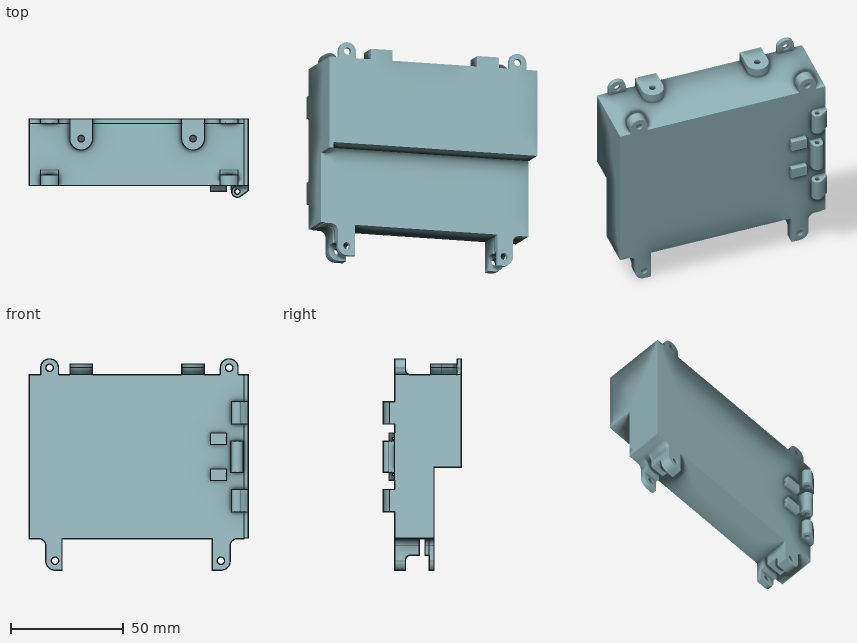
import cadquery as cq
import math


QUARTER_BOW = 1 - math.sqrt(0.5)

LENGTH = 97.2
HEIGHT = 72.9
DEPTH_UPPER = 29.7
DEPTH_LOWER = 17.5

OVERSIZE = 3 * LENGTH

COVER_UPPER = 1.9
COVER_LOWER = 2.2
COVER_LEDGE = 1.5
STEP_Z = 35.7
HOUSING_UPPER = DEPTH_UPPER - COVER_UPPER
HOUSING_LOWER = DEPTH_LOWER - COVER_LOWER
LEDGE_Z = STEP_Z - COVER_LEDGE

DOOR_THICKNESS = 1.9
DOOR_BOTTOM = 0.3
DOOR_OVERHANG = 2.5
HOUSING_LENGTH = LENGTH - DOOR_THICKNESS

LUG_RADIUS = 4.0
LUG_RISE = 3.0
LUG_FIRST_X = 9.0
LUG_SPACING = 79.7
LUG_XS = [LUG_FIRST_X, LUG_FIRST_X + LUG_SPACING]
LUG_THICKNESS = 4.9
LUG_HOLE = 3.2

LEG_PLACES = [(7.3, 14.6, 11.5), (89.3, 81.2, 85.1)]
LEG_LENGTH = 14.0
LEG_HOLE = 3.2
LEG_CORNER = 4.3
LEG_FILLET = 2.9
LEG_THICKNESS = 4.9
LEG_ROOT_DEPTH = 11.0
LEG_ROOT_LENGTH = 7.3
REAR_ROOT_THICKNESS = 1.8
STEP_FILLET = 2.0

PAD_WIDTH = 10.1
PAD_HEIGHT = 3.2
TAB_THICKNESS = 1.6
PAD_FIRST_X = 23.0
PAD_SPACING = 49.7
PAD_XS = [PAD_FIRST_X, PAD_FIRST_X + PAD_SPACING]
PAD_HOLE_Y = 20.9
PAD_HOLE = 3.0

HINGE_X = 92.4
HINGE_Y = -2.6
KNUCKLE_RADIUS = 2.5
HINGE_HOLE = 2.2
HINGE_MID_Z = HEIGHT / 2
MIDDLE_KNUCKLE_LENGTH = 13.9
MIDDLE_KNUCKLE_FLARE = 2.9
DOOR_KNUCKLE_LENGTH = 10.0
DOOR_KNUCKLE_OFFSET = 19.4
STRAP_DEPTH = 2.2

BLOCK_X = 80.4
BLOCK_LENGTH = 7.1
BLOCK_HEIGHT = 5.2
BLOCK_PROTRUSION = 2.5
BLOCK_OFFSET = 8.0
BLOCK_HOLE = 1.0
BLOCK_HOLE_Y = -0.6


def slab(x_start, thickness, points):
    """Prism along X with a polygonal Y-Z outline."""
    return cq.Workplane("YZ", origin=(x_start, 0, 0)).polyline(points).close().extrude(thickness)


def upright(y_start):
    """Workplane facing the front, with X and Z as its axes; a negative extrusion runs rearward."""
    return cq.Workplane("XZ", origin=(0, y_start, 0))


def lug(x, y_start, thickness):
    """Round-topped upright lug, without its hole."""
    hole_z = HEIGHT + LUG_RISE
    return (
        upright(y_start)
        .moveTo(x - LUG_RADIUS, HEIGHT)
        .lineTo(x - LUG_RADIUS, hole_z)
        .threePointArc((x, hole_z + LUG_RADIUS), (x + LUG_RADIUS, hole_z))
        .lineTo(x + LUG_RADIUS, HEIGHT)
        .close()
        .extrude(-thickness)
    )


def concave_fillet(x_start, width, y, z, rise):
    """Fillet bar along X at the rear of a wall at y; it runs from the floor at z towards z + rise."""
    diagonal = STEP_FILLET * QUARTER_BOW
    sign = math.copysign(1, rise)
    return (
        cq.Workplane("YZ", origin=(x_start, 0, 0))
        .moveTo(y, z)
        .lineTo(y + STEP_FILLET, z)
        .threePointArc((y + diagonal, z + sign * diagonal), (y, z + rise))
        .close()
        .extrude(width)
    )


def leg(outer, inner, y_start, thickness):
    """Leg with a fillet at its outer root and a rounded outer corner, without its hole."""
    inward = math.copysign(1, inner - outer)
    corner_z = LEG_CORNER - LEG_LENGTH
    corner_bow = LEG_CORNER * QUARTER_BOW
    fillet_bow = LEG_FILLET * QUARTER_BOW
    return (
        upright(y_start)
        .moveTo(inner, 0)
        .lineTo(outer - inward * LEG_FILLET, 0)
        .threePointArc((outer - inward * fillet_bow, -fillet_bow), (outer, -LEG_FILLET))
        .lineTo(outer, corner_z)
        .threePointArc(
            (outer + inward * corner_bow, corner_bow - LEG_LENGTH),
            (outer + inward * LEG_CORNER, -LEG_LENGTH),
        )
        .lineTo(inner, -LEG_LENGTH)
        .close()
        .extrude(-thickness)
    )


def leg_root(outer, inner, y_start, thickness):
    """Upper part of a leg, cut off level at the root length."""
    below_root = cq.Workplane("XY", origin=(0, 0, -LEG_ROOT_LENGTH)).rect(OVERSIZE, OVERSIZE)
    return leg(outer, inner, y_start, thickness).cut(below_root.extrude(-LEG_LENGTH))


def screw_holes():
    """Cutters through all lugs and legs, from front to rear."""
    lug_points = [(x, HEIGHT + LUG_RISE) for x in LUG_XS]
    leg_points = [(hole_x, LEG_CORNER - LEG_LENGTH) for _, _, hole_x in LEG_PLACES]
    lug_cutters = upright(0).pushPoints(lug_points).circle(LUG_HOLE / 2).extrude(-DEPTH_UPPER)
    leg_cutters = upright(0).pushPoints(leg_points).circle(LEG_HOLE / 2).extrude(-DEPTH_UPPER)
    return lug_cutters.union(leg_cutters)


def bracket_outline(x):
    """Closed outline of a bracket on the top face, running from the rear face to a round front end."""
    radius = PAD_WIDTH / 2
    return (
        cq.Workplane("XY", origin=(0, 0, HEIGHT))
        .moveTo(x - radius, DEPTH_UPPER)
        .lineTo(x - radius, PAD_HOLE_Y)
        .threePointArc((x, PAD_HOLE_Y - radius), (x + radius, PAD_HOLE_Y))
        .lineTo(x + radius, DEPTH_UPPER)
        .close()
    )


def bracket_hole(x):
    """Cutter for the vertical hole through a tab and its pad."""
    bracket_height = PAD_HEIGHT + TAB_THICKNESS
    return cq.Workplane("XY", origin=(x, PAD_HOLE_Y, HEIGHT)).circle(PAD_HOLE / 2).extrude(bracket_height)


def pad(x):
    """Housing part of a bracket: the lower layer in front of the cover plate."""
    behind = upright(HOUSING_UPPER).rect(OVERSIZE, OVERSIZE).extrude(-DEPTH_UPPER)
    return bracket_outline(x).extrude(PAD_HEIGHT).cut(behind)


def hinge_bore():
    """Cutter for the hinge pin hole over the full height."""
    return cq.Workplane("XY", origin=(HINGE_X, HINGE_Y, 0)).circle(HINGE_HOLE / 2).extrude(HEIGHT)


def knuckle_point(angle):
    """Point on the knuckle circle at an angle in radians, counterclockwise from +X."""
    return (HINGE_X + KNUCKLE_RADIUS * math.cos(angle), HINGE_Y + KNUCKLE_RADIUS * math.sin(angle))


def middle_knuckle():
    """Housing knuckle with a round nose; one side is square, the other leans out towards its base."""
    corner_distance = math.hypot(MIDDLE_KNUCKLE_FLARE, HINGE_Y)
    corner_angle = math.atan2(-HINGE_Y, -MIDDLE_KNUCKLE_FLARE)
    tangent_angle = corner_angle + math.acos(KNUCKLE_RADIUS / corner_distance)
    return (
        cq.Workplane("XY", origin=(0, 0, HINGE_MID_Z - MIDDLE_KNUCKLE_LENGTH / 2))
        .moveTo(HINGE_X - MIDDLE_KNUCKLE_FLARE, 0)
        .lineTo(*knuckle_point(tangent_angle))
        .threePointArc(knuckle_point(-math.pi / 2), knuckle_point(0))
        .lineTo(HINGE_X + KNUCKLE_RADIUS, 0)
        .close()
        .extrude(MIDDLE_KNUCKLE_LENGTH)
    )


def door_knuckle(mid_z):
    """Door knuckle with a strap to the door; its slanted side is tangent to the knuckle."""
    corner_x = LENGTH - HINGE_X
    corner_y = -STRAP_DEPTH - HINGE_Y
    corner_distance = math.hypot(corner_x, corner_y)
    tangent_angle = math.atan2(corner_y, corner_x) - math.acos(KNUCKLE_RADIUS / corner_distance)
    return (
        cq.Workplane("XY", origin=(0, 0, mid_z - DOOR_KNUCKLE_LENGTH / 2))
        .moveTo(LENGTH, 0)
        .lineTo(LENGTH, -STRAP_DEPTH)
        .lineTo(*knuckle_point(tangent_angle))
        .threePointArc(knuckle_point(math.pi), knuckle_point(math.pi / 2))
        .lineTo(HOUSING_LENGTH, 0)
        .close()
        .extrude(DOOR_KNUCKLE_LENGTH)
    )


def stop_block(mid_z):
    """Small block on the front face with a fine hole along X."""
    end_face = cq.Workplane("YZ", origin=(BLOCK_X, 0, mid_z))
    outline = end_face.center(-BLOCK_PROTRUSION / 2, 0).rect(BLOCK_PROTRUSION, BLOCK_HEIGHT)
    block = outline.extrude(BLOCK_LENGTH)
    hole = end_face.center(BLOCK_HOLE_Y, 0).circle(BLOCK_HOLE / 2).extrude(BLOCK_LENGTH)
    return block.cut(hole)


def make_housing():
    """Stepped box with front lugs, legs, bracket pads, stop blocks and the middle hinge knuckle."""
    housing = slab(0, HOUSING_LENGTH, [
        (0, 0),
        (HOUSING_LOWER, 0),
        (HOUSING_LOWER, STEP_Z),
        (HOUSING_UPPER, STEP_Z),
        (HOUSING_UPPER, HEIGHT),
        (0, HEIGHT),
    ])
    for x in LUG_XS:
        housing = housing.union(lug(x, 0, LUG_THICKNESS))
        fillet = concave_fillet(x - LUG_RADIUS, 2 * LUG_RADIUS, LUG_THICKNESS, HEIGHT, STEP_FILLET)
        housing = housing.union(fillet)
    for outer, inner, _ in LEG_PLACES:
        fillet = concave_fillet(
            min(outer, inner), abs(inner - outer), LEG_THICKNESS, -LEG_ROOT_LENGTH, -STEP_FILLET
        )
        rear_root_y = HOUSING_LOWER - REAR_ROOT_THICKNESS
        housing = housing.union(leg(outer, inner, 0, LEG_THICKNESS))
        housing = housing.union(leg_root(outer, inner, 0, LEG_ROOT_DEPTH)).union(fillet)
        housing = housing.union(leg_root(outer, inner, rear_root_y, REAR_ROOT_THICKNESS))
    for x in PAD_XS:
        housing = housing.union(pad(x)).cut(bracket_hole(x))
    for side in (-1, 1):
        housing = housing.union(stop_block(HINGE_MID_Z + side * BLOCK_OFFSET))
    return housing.union(middle_knuckle().cut(hinge_bore())).cut(screw_holes())


def make_cover():
    """Stepped rear plate with thin lugs, legs and tabs that lie on the bracket pads."""
    cover = slab(0, HOUSING_LENGTH, [
        (HOUSING_LOWER, 0),
        (DEPTH_LOWER, 0),
        (DEPTH_LOWER, LEDGE_Z),
        (DEPTH_UPPER, LEDGE_Z),
        (DEPTH_UPPER, HEIGHT),
        (HOUSING_UPPER, HEIGHT),
        (HOUSING_UPPER, STEP_Z),
        (HOUSING_LOWER, STEP_Z),
    ])
    for x in LUG_XS:
        cover = cover.union(lug(x, HOUSING_UPPER, COVER_UPPER))
    for outer, inner, _ in LEG_PLACES:
        cover = cover.union(leg(outer, inner, HOUSING_LOWER, COVER_LOWER))
    for x in PAD_XS:
        bracket = bracket_outline(x).extrude(PAD_HEIGHT + TAB_THICKNESS)
        cover = cover.union(bracket.cut(pad(x))).cut(bracket_hole(x))
    return cover.cut(screw_holes())


def make_door():
    """Side plate with the same step as the box and two hinge knuckles at its front edge."""
    overhang_z = LEDGE_Z - DOOR_OVERHANG
    door = slab(HOUSING_LENGTH, DOOR_THICKNESS, [
        (0, DOOR_BOTTOM),
        (DEPTH_LOWER, DOOR_BOTTOM),
        (DEPTH_LOWER, overhang_z),
        (DEPTH_UPPER, overhang_z),
        (DEPTH_UPPER, HEIGHT),
        (0, HEIGHT),
    ])
    for side in (-1, 1):
        door = door.union(door_knuckle(HINGE_MID_Z + side * DOOR_KNUCKLE_OFFSET))
    return door.cut(hinge_bore())


housing = make_housing()
cover = make_cover()
door = make_door()

result = cq.Compound.makeCompound([housing.solids().val(), cover.solids().val(), door.solids().val()])